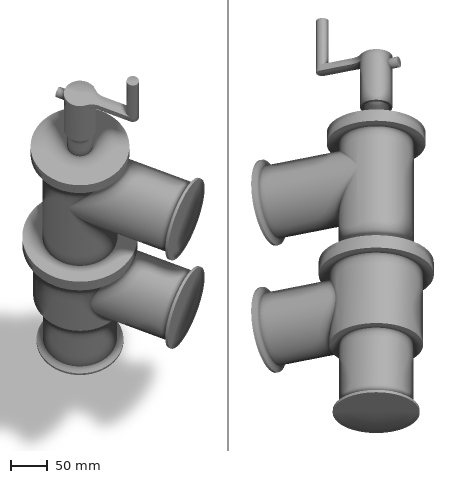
import cadquery as cq
import math

pipe_d = 101.5
total_height = 622.0

ferrule_d = 119.0
rim_thickness = 4.0
ferrule_length = 8.0

lower_body_d = 128.0
lower_body_base_z = 104.5
seat_flange_d = 157.5
seat_flange_base_z = 213.0
seat_flange_top_z = 232.5
lower_outlet_z = 160.5

upper_body_d = 102.5
cover_d = 135.0
cover_base_z = 415.5
cover_top_z = 433.0
upper_outlet_z = 357.0

overall_length_x = 239.0
outlet_end_x = overall_length_x - seat_flange_d / 2

stem_d = 35.0
hub_d = 44.0
hub_base_z = 472.0
hub_top_z = 550.0
grip_d = 17.0
grip_x = 79.5
arm_thickness = 9.5
arm_neck_radius = 23.0
pin_d = 15.0
pin_z = 535.5
pin_end_x = -33.5


def cylinder(diameter, base_z, top_z):
    """Solid cylinder on the Z axis between two heights."""
    return cq.Workplane("XY").workplane(offset=base_z).circle(diameter / 2).extrude(top_z - base_z)


def ferrule_pipe(length):
    """Pipe along +Z with its ferrule face at Z = 0."""
    pipe_r = pipe_d / 2
    ferrule_r = ferrule_d / 2
    profile = [
        (0, 0),
        (ferrule_r, 0),
        (ferrule_r, rim_thickness),
        (pipe_r, ferrule_length),
        (pipe_r, length),
        (0, length),
    ]
    return cq.Workplane("XZ").polyline(profile).close().revolve(360, (0, 0), (0, 1))


def outlet(axis_z):
    """Side pipe from the column axis to its ferrule at the outlet plane."""
    pipe = ferrule_pipe(outlet_end_x).rotate((0, 0, 0), (0, 1, 0), -90)
    return pipe.translate((outlet_end_x, 0, axis_z))


def make_lower_housing():
    inlet = ferrule_pipe(lower_body_base_z)
    body = cylinder(lower_body_d, lower_body_base_z, seat_flange_base_z)
    seat_flange = cylinder(seat_flange_d, seat_flange_base_z, seat_flange_top_z)
    return inlet.union(body).union(seat_flange).union(outlet(lower_outlet_z))


def make_upper_housing():
    body = cylinder(upper_body_d, seat_flange_top_z, cover_base_z)
    cover = cylinder(cover_d, cover_base_z, cover_top_z)
    return body.union(cover).union(outlet(upper_outlet_z))


def make_arm():
    """Flat arm, flared by concave arcs tangent to the hub and ending square at the grip axis."""
    hub_r = hub_d / 2
    half_width = grip_d / 2
    neck_center_y = half_width + arm_neck_radius
    neck_center_x = math.sqrt((hub_r + arm_neck_radius) ** 2 - neck_center_y ** 2)

    hub_share = hub_r / (hub_r + arm_neck_radius)
    tangent_x = neck_center_x * hub_share
    tangent_y = neck_center_y * hub_share

    hub_end_angle = math.atan2(-neck_center_y, -neck_center_x)
    middle_angle = (hub_end_angle - math.pi / 2) / 2
    middle_x = neck_center_x + arm_neck_radius * math.cos(middle_angle)
    middle_y = neck_center_y + arm_neck_radius * math.sin(middle_angle)

    return (
        cq.Workplane("XY")
        .workplane(offset=hub_top_z - arm_thickness)
        .moveTo(tangent_x, tangent_y)
        .threePointArc((middle_x, middle_y), (neck_center_x, half_width))
        .lineTo(grip_x, half_width)
        .lineTo(grip_x, -half_width)
        .lineTo(neck_center_x, -half_width)
        .threePointArc((middle_x, -middle_y), (tangent_x, -tangent_y))
        .threePointArc((-hub_r, 0), (tangent_x, tangent_y))
        .close()
        .extrude(arm_thickness)
    )


def make_crank():
    stem = cylinder(stem_d, cover_top_z, hub_base_z)
    hub = cylinder(hub_d, hub_base_z, hub_top_z)
    grip = cylinder(grip_d, hub_top_z - arm_thickness, total_height).translate((grip_x, 0, 0))
    pin = cq.Workplane("YZ").center(0, pin_z).circle(pin_d / 2).extrude(pin_end_x)
    return stem.union(hub).union(make_arm()).union(grip).union(pin)


lower_housing = make_lower_housing()
upper_housing = make_upper_housing()
crank = make_crank()

bodies = [lower_housing, upper_housing, crank]
result = cq.Compound.makeCompound([body.solids().val() for body in bodies])